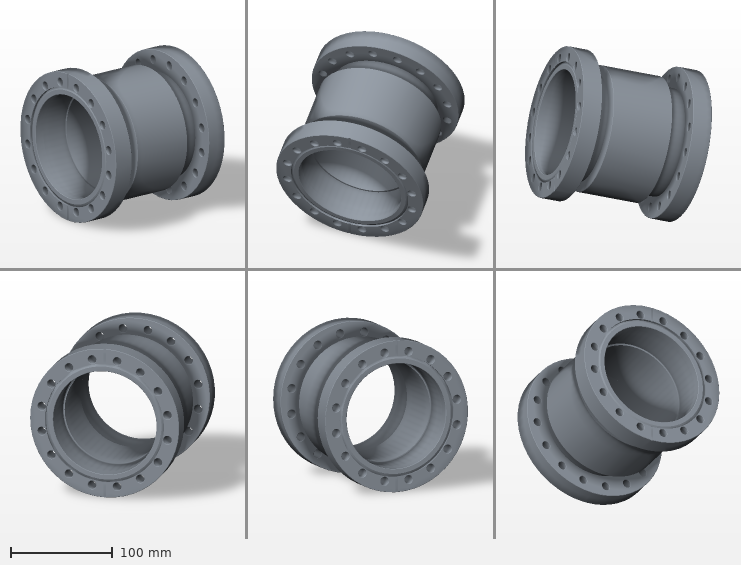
import cadquery as cq
import math

length = 136.5
mid = length / 2

flange_radius = 75.8
flange_thickness = 19.9
edge_chamfer = 0.38
bolt_count = 16
bolt_circle_radius = 65.2
bolt_hole_diameter = 8.3

recess_radius = 60.3
knife_radius = 57.6
knife_depth = 0.8
knife_slope = 30.0
recess_depth = knife_depth + (recess_radius - knife_radius) * math.tan(math.radians(knife_slope))

groove_width = 2.5
groove_depth = 0.6

neck_radius = 54.1
neck_bore_radius = 52.6
neck_start = 10.8

sleeve_radius = 63.4
sleeve_bore_radius = 50.8
sleeve_start = 35.2
sleeve_cone_length = 1.8
socket_depth = 3.0
neck_end = sleeve_start + socket_depth


def turn(points):
    """Revolve a closed outline of (radius, y) points about the Y axis."""
    return cq.Workplane("XY").polyline(points).close().revolve(360, (0, 0, 0), (0, 1, 0))


def cut_bolt_holes(flange):
    """Drill the bolt circle with both mouths chamfered, and no hole on the X or Z axis."""
    hole_radius = bolt_hole_diameter / 2
    mouth_radius = hole_radius + edge_chamfer
    cutter = turn([
        (0, 0),
        (mouth_radius, 0),
        (hole_radius, edge_chamfer),
        (hole_radius, flange_thickness - edge_chamfer),
        (mouth_radius, flange_thickness),
        (0, flange_thickness),
    ])
    step = 360 / bolt_count
    cutter = cutter.translate((bolt_circle_radius, 0, 0))
    for index in range(bolt_count):
        flange = flange.cut(cutter.rotate((0, 0, 0), (0, 1, 0), (index + 0.5) * step))
    return flange


def cut_leak_grooves(flange):
    """Cut the shallow grooves that run from the recess out to the rim."""
    groove_length = flange_radius - knife_radius
    for side in (-1, 1):
        groove = cq.Workplane("XY").box(groove_width, 2 * groove_depth, groove_length)
        groove = groove.translate((0, 0, side * (knife_radius + groove_length / 2)))
        flange = flange.cut(groove)
    return flange


def make_flange():
    """Flange with its sealing face at Y = 0 and its back toward +Y."""
    blank = turn([
        (neck_bore_radius, knife_depth + edge_chamfer),
        (neck_bore_radius + edge_chamfer, knife_depth),
        (knife_radius, knife_depth),
        (recess_radius, recess_depth),
        (recess_radius, 0),
        (flange_radius - edge_chamfer, 0),
        (flange_radius, edge_chamfer),
        (flange_radius, flange_thickness - edge_chamfer),
        (flange_radius - edge_chamfer, flange_thickness),
        (neck_radius, flange_thickness),
        (neck_radius, neck_start),
        (neck_bore_radius, neck_start),
    ])
    return cut_leak_grooves(cut_bolt_holes(blank))


def make_neck():
    """Thin tube that joins the flange at Y = 0 to the sleeve."""
    return turn([
        (neck_bore_radius, neck_start),
        (neck_radius, neck_start),
        (neck_radius, neck_end),
        (neck_bore_radius, neck_end),
    ])


def make_sleeve():
    """Thick central tube with coned ends and a socket for each neck."""
    cone_end = sleeve_start + sleeve_cone_length
    half_outline = [
        (sleeve_bore_radius, neck_end),
        (neck_radius, neck_end),
        (neck_radius, sleeve_start),
        (sleeve_radius - edge_chamfer, cone_end),
        (sleeve_radius, cone_end + edge_chamfer),
    ]
    far_half = [(radius, length - y) for radius, y in reversed(half_outline)]
    return turn(half_outline + far_half)


def both_ends(body):
    """The body and its mirror image at the other end of the part."""
    return [body, body.mirror("XZ", (0, mid, 0))]


flanges = both_ends(make_flange())
necks = both_ends(make_neck())
sleeve = make_sleeve()

bodies = flanges + necks + [sleeve]
result = cq.Compound.makeCompound([body.val() for body in bodies])